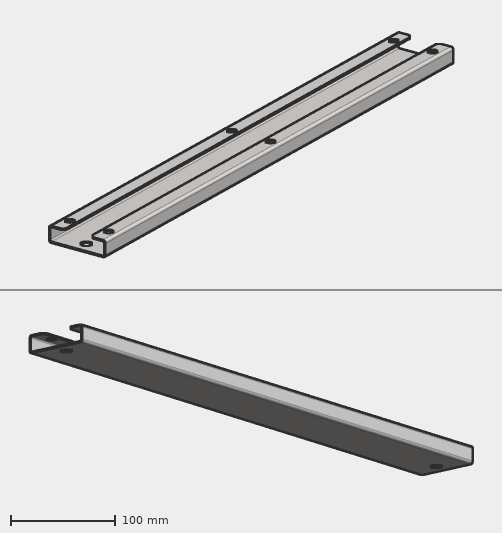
import cadquery as cq

length = 580.0
width = 66.0
height = 18.0
wall = 1.5
bend_radius = 3.0
lip_gap = 30.0
lip_corner_radius = 5.0

lip_hole_diameter = 9.0
lip_hole_spacing = 45.0
lip_hole_row_span = 540.0
base_hole_diameter = 11.0
base_hole_end_distance = 15.0


def rounded_bar(bar_width, bar_height, radius):
    """Full-length bar along Y, centred on the origin, with rounded long edges."""
    return cq.Workplane("XY").box(bar_width, length, bar_height).edges("|Y").fillet(radius)


def make_channel():
    """Bent sheet channel, with the gap between its lips open at the top."""
    outside = rounded_bar(width, height, bend_radius)
    inside = rounded_bar(width - 2 * wall, height - 2 * wall, bend_radius - wall)
    gap = cq.Workplane("XY").box(lip_gap, length, height / 2, centered=(True, True, False))
    return outside.cut(inside).cut(gap)


def round_lip_corners(body):
    """Round the free corners at both ends of each lip."""
    half_gap = lip_gap / 2
    lip_corners = cq.selectors.BoxSelector(
        (-half_gap - wall, -length, 0), (half_gap + wall, length, height)
    )
    return body.edges("|Z").edges(lip_corners).fillet(lip_corner_radius)


def drill_lips(body):
    """Drill three holes through each lip, leaving the base whole."""
    end_row = lip_hole_row_span / 2
    positions = [
        (side * lip_hole_spacing / 2, row)
        for side in (-1, 1)
        for row in (-end_row, 0, end_row)
    ]
    drills = (
        cq.Workplane("XY").pushPoints(positions).circle(lip_hole_diameter / 2).extrude(height)
    )
    return body.cut(drills)


def drill_base(body):
    """Drill one hole through the base near each end, on the centreline."""
    row = length / 2 - base_hole_end_distance
    drills = (
        cq.Workplane("XY")
        .pushPoints([(0, -row), (0, row)])
        .circle(base_hole_diameter / 2)
        .extrude(-height)
    )
    return body.cut(drills)


channel = make_channel()
rounded_channel = round_lip_corners(channel)
result = drill_base(drill_lips(rounded_channel))